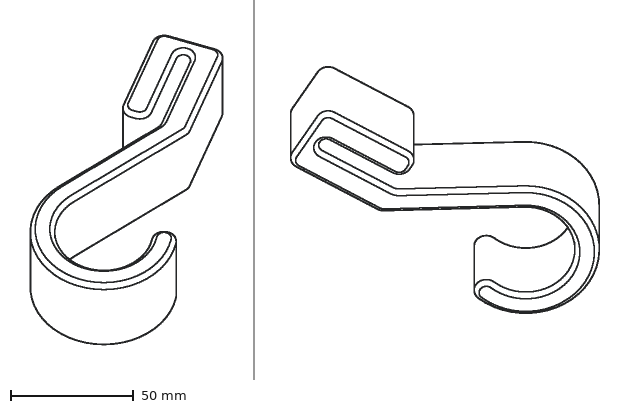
import cadquery as cq
import math

total_length = 135.0
height = 40.0
bowl_outer_radius = 30.0
bowl_wall = 10.0
slot_width = 6.0
clip_arm_width = 12.0
clip_arm_length = 45.0
clip_top_wall = 7.0
corner_radius = 5.0
edge_chamfer = 2.0
tip_angle = 9.0

bowl_inner_radius = bowl_outer_radius - bowl_wall
top_y = total_length - bowl_outer_radius
bend_y = top_y - clip_arm_length
slot_half = slot_width / 2
clip_half = slot_half + clip_arm_width
slot_end_y = top_y - clip_top_wall
slot_round_y = slot_end_y - slot_half


def polar(radius, degrees):
    """Point on a circle around the bowl centre."""
    angle = math.radians(degrees)
    return radius * math.cos(angle), radius * math.sin(angle)


def left_tangent_angle(radius, x, y):
    """Direction, in degrees, of the left tangent point on a bowl circle seen from (x, y)."""
    sweep = math.acos(radius / math.hypot(x, y))
    return math.degrees(math.atan2(y, x) + sweep)


outer_join = left_tangent_angle(bowl_outer_radius, slot_half, bend_y)
inner_join = left_tangent_angle(bowl_inner_radius, clip_half, bend_y)

middle_radius = bowl_inner_radius + bowl_wall / 2
tip_center = polar(middle_radius, tip_angle)
tip_direction = polar(bowl_wall / 2, tip_angle + 90)
tip_crown = (tip_center[0] + tip_direction[0], tip_center[1] + tip_direction[1])


def hook_profile():
    """Clip, sloping shank and bowl as one closed outline with sharp corners."""
    return (
        cq.Workplane("XY")
        .moveTo(-clip_half, top_y)
        .lineTo(-clip_half, bend_y)
        .lineTo(-slot_half, bend_y)
        .lineTo(-slot_half, slot_round_y)
        .threePointArc((0, slot_end_y), (slot_half, slot_round_y))
        .lineTo(slot_half, bend_y)
        .lineTo(*polar(bowl_outer_radius, outer_join))
        .threePointArc((0, -bowl_outer_radius), polar(bowl_outer_radius, tip_angle))
        .threePointArc(tip_crown, polar(bowl_inner_radius, tip_angle))
        .threePointArc((0, -bowl_inner_radius), polar(bowl_inner_radius, inner_join))
        .lineTo(clip_half, bend_y)
        .lineTo(clip_half, top_y)
        .close()
    )


def round_corners(body):
    """Round the clip corners, the free arm end and both sides of the shank bend."""
    corners = [
        (-clip_half, top_y),
        (clip_half, top_y),
        (-clip_half, bend_y),
        (-slot_half, bend_y),
        (slot_half, bend_y),
        (clip_half, bend_y),
    ]
    edges = cq.Workplane("XY")
    for x, y in corners:
        nearest = cq.selectors.NearestToPointSelector((x, y, height / 2))
        edges = edges.add(body.edges("|Z").edges(nearest))
    return body.newObject(edges.vals()).fillet(corner_radius)


hook = round_corners(hook_profile().extrude(height))

result = hook.faces("<Z or >Z").edges().chamfer(edge_chamfer)